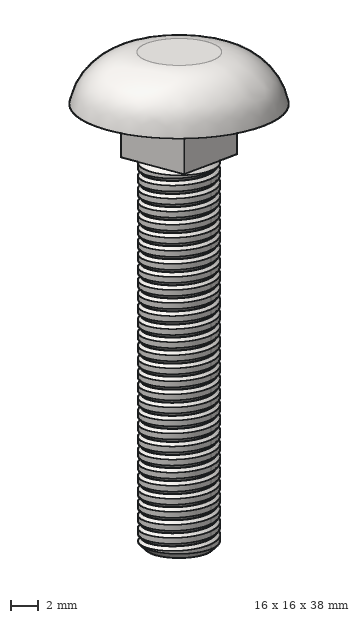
import cadquery as cq
import math

total_length = 38.0
head_diameter = 16.0
head_height = 4.0
dome_radius = 5.0
neck_width = 6.0
neck_height = 4.0

major_diameter = neck_width
root_diameter = 5.5
end_diameter = 5.0
thread_turns = 30
crest_width = 0.45
root_width = 0.05
crest_height_at_x = 0.65
groove_overcut = 0.05
turns_below_crest = 1.5
extra_turns = 3
blank_margin = 3.8
envelope_clearance = 0.38

major_radius = major_diameter / 2
root_radius = root_diameter / 2
end_radius = end_diameter / 2
neck_top = total_length - head_height
shank_length = neck_top - neck_height
pitch = shank_length / thread_turns


def make_head():
    """Domed head: the arc leaves the flat top tangentially and ends at the rim."""
    rim_radius = head_diameter / 2
    center_z = total_length - dome_radius
    rim_angle = math.asin((neck_top - center_z) / dome_radius)
    center_x = rim_radius - dome_radius * math.cos(rim_angle)
    mid_angle = (rim_angle + math.pi / 2) / 2
    arc_middle = (
        center_x + dome_radius * math.cos(mid_angle),
        center_z + dome_radius * math.sin(mid_angle),
    )
    return (
        cq.Workplane("XZ")
        .moveTo(0, neck_top)
        .lineTo(rim_radius, neck_top)
        .threePointArc(arc_middle, (center_x, total_length))
        .lineTo(0, total_length)
        .close()
        .revolve(360, (0, 0, 0), (0, 1, 0))
    )


def make_neck():
    """Square neck under the head."""
    return (
        cq.Workplane("XY")
        .workplane(offset=shank_length)
        .rect(neck_width, neck_width)
        .extrude(neck_height)
    )


def make_groove():
    """Helical V groove with a narrow flat root, running past both ends of the shank."""
    start_z = crest_height_at_x - turns_below_crest * pitch
    helix_length = shank_length + extra_turns * pitch
    half_root = root_width / 2
    half_mouth = (pitch - crest_width) / 2
    flank_slope = (half_mouth - half_root) / (major_radius - root_radius)
    half_opening = half_mouth + flank_slope * groove_overcut
    outer_radius = major_radius + groove_overcut
    helix = cq.Wire.makeHelix(pitch, helix_length, outer_radius).translate(cq.Vector(0, 0, start_z))
    return (
        cq.Workplane("XZ")
        .polyline([
            (root_radius, start_z - half_root),
            (outer_radius, start_z - half_opening),
            (outer_radius, start_z + half_opening),
            (root_radius, start_z + half_root),
        ])
        .close()
        .sweep(cq.Workplane(obj=helix), isFrenet=True)
    )


def make_shank():
    """Thread cut in an overlong rod, then trimmed to length with 45 degree ends."""
    blank = (
        cq.Workplane("XY")
        .workplane(offset=-blank_margin)
        .circle(major_radius)
        .extrude(shank_length + 2 * blank_margin)
    )
    envelope_radius = major_radius + envelope_clearance
    envelope = (
        cq.Workplane("XY")
        .circle(envelope_radius)
        .extrude(shank_length)
        .edges("%CIRCLE")
        .chamfer(envelope_radius - end_radius)
    )
    return blank.cut(make_groove()).intersect(envelope)


result = make_shank().union(make_neck()).union(make_head())